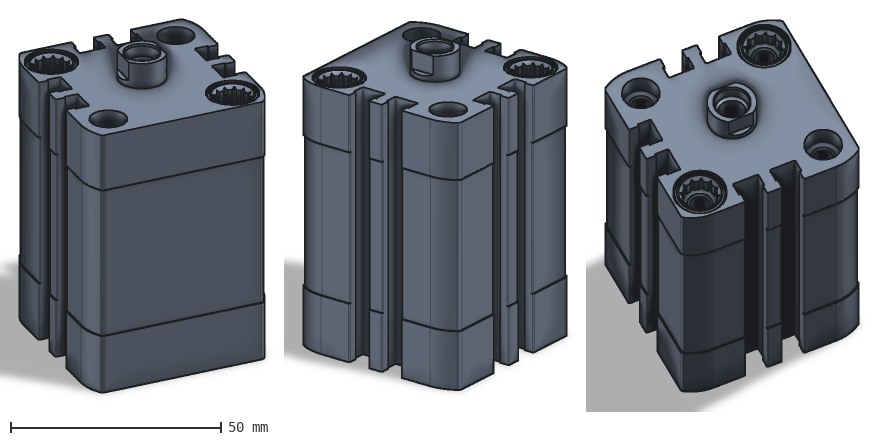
import cadquery as cq
import math

width = 47.0
half = width / 2
total_height = 75.6
housing_height = 68.95
bottom_cap_height = 15.1
top_cap_height = 14.8
barrel_inset = 0.3

corner_radius = 12.1
edge_radius = 1.2

slot_depth = 6.0
lip_depth = 2.6
rib_head_half = 2.0
rib_web_half = 1.5
slot_mouth_end = 7.7
slot_inner_end = 8.25
slot_edge_radius = 0.3
slotted_side_angles = (0, 90, 180)

hole_offset = 16.25
through_diameter = 4.9
hole_chamfer_diameter = 6.0
counterbore_diameter = 9.0
counterbore_depth = 5.0

ring_pit_diameter = 12.8
ring_foot_diameter = 12.0
ring_top_diameter = 11.0
ring_top_drop = 0.2
ring_pit_depth = 0.5
lead_in_diameter = 10.2
lead_in_slope = 52.0
socket_core_diameter = 8.4
socket_tip_diameter = 9.4
socket_depth = 4.6
socket_squares = 3

rod_diameter = 11.9
rod_depth = 15.1
flats_across = 10.0
flats_height = 4.85
flats_shoulder_slope = 30.0
mouth_diameter = 9.0
mouth_depth = 0.45
rod_bore_diameter = 8.5
rod_bore_depth = 3.3
bore_step_depth = 0.45
thread_diameter = 6.65
thread_depth = 12.1
drill_tip_angle = 118.0


def block(inset, z_bottom, height):
    """Prism with blended corners, set in by `inset` all round."""
    side = half - inset
    large = corner_radius - inset
    arc_x = hole_offset
    arc_y = side - large
    small_x = side - edge_radius
    blend = math.asin((small_x - arc_x) / (large - edge_radius))
    small_y = arc_y + (large - edge_radius) * math.cos(blend)

    def on_large(angle):
        return arc_x + large * math.sin(angle), arc_y + large * math.cos(angle)

    def on_small(angle):
        return small_x + edge_radius * math.sin(angle), small_y + edge_radius * math.cos(angle)

    quarter = (
        cq.Workplane("XY", origin=(0, 0, z_bottom))
        .lineTo(0, side)
        .lineTo(arc_x, side)
        .threePointArc(on_large(blend / 2), on_large(blend))
        .threePointArc(on_small((blend + math.pi / 2) / 2), (side, small_y))
        .lineTo(side, 0)
        .close()
        .extrude(height)
    )
    right_half = quarter.union(quarter.mirror("XZ"))
    return right_half.union(right_half.mirror("YZ")).clean()


def slot_pair(side, z_bottom, height):
    """Two T-slots cut into a +Y face at `side`, with rounded mouths and rounded floor corners."""
    lip = half - lip_depth
    floor = half - slot_depth
    mouth_start = side - slot_edge_radius
    slot = (
        cq.Workplane("XY", origin=(0, 0, z_bottom))
        .moveTo(rib_head_half - slot_edge_radius, side)
        .radiusArc((rib_head_half, mouth_start), slot_edge_radius)
        .lineTo(rib_head_half, lip)
        .lineTo(rib_web_half, lip)
        .lineTo(rib_web_half, floor + slot_edge_radius)
        .radiusArc((rib_web_half + slot_edge_radius, floor), -slot_edge_radius)
        .lineTo(slot_inner_end - slot_edge_radius, floor)
        .radiusArc((slot_inner_end, floor + slot_edge_radius), -slot_edge_radius)
        .lineTo(slot_inner_end, lip)
        .lineTo(slot_mouth_end, lip)
        .lineTo(slot_mouth_end, mouth_start)
        .radiusArc((slot_mouth_end + slot_edge_radius, side), slot_edge_radius)
        .close()
        .extrude(height)
    )
    return slot.union(slot.mirror("YZ"))


def slotted_block(inset, z_bottom, height):
    """Block with a pair of T-slots in its +Y, -X and -Y sides."""
    section = block(inset, z_bottom, height)
    slots = slot_pair(half - inset, z_bottom, height)
    for angle in slotted_side_angles:
        section = section.cut(slots.rotate((0, 0, 0), (0, 0, 1), angle))
    return section


def revolved(points, x, y, z_top):
    """Solid of revolution about the vertical line at (x, y); heights run from z_top."""
    profile = cq.Workplane("XZ").polyline(points).close()
    return profile.revolve(360, (0, 0, 0), (0, 1, 0)).translate((x, y, z_top))


def through_hole(x, y, floor_depth):
    """Through hole with a 45 degree chamfer at the floor of the recess above it."""
    bore = through_diameter / 2
    mouth = hole_chamfer_diameter / 2
    points = [
        (0, -floor_depth),
        (mouth, -floor_depth),
        (bore, -floor_depth - (mouth - bore)),
        (bore, -housing_height),
        (0, -housing_height),
    ]
    return revolved(points, x, y, housing_height)


def counterbore(x, y):
    """Counterbored through hole."""
    recess = cq.Workplane("XY", origin=(x, y, housing_height)).circle(counterbore_diameter / 2)
    return recess.extrude(-counterbore_depth).union(through_hole(x, y, counterbore_depth))


def ring_clearance(x, y):
    """Pit that leaves a chamfered ring just below the top face, with a conical lead-in."""
    lead_in = lead_in_diameter / 2
    core = socket_core_diameter / 2
    lead_in_depth = (lead_in - core) * math.tan(math.radians(lead_in_slope))
    points = [
        (0, 0),
        (ring_pit_diameter / 2, 0),
        (ring_pit_diameter / 2, -ring_pit_depth),
        (ring_foot_diameter / 2, -ring_pit_depth),
        (ring_top_diameter / 2, -ring_top_drop),
        (lead_in, -ring_top_drop),
        (core, -ring_top_drop - lead_in_depth),
        (0, -ring_top_drop - lead_in_depth),
    ]
    return revolved(points, x, y, housing_height)


def toothed_socket(x, y):
    """Twelve-point socket: three evenly turned squares, opened out by a round core."""
    square_side = socket_tip_diameter / math.sqrt(2)
    base = cq.Workplane("XY", origin=(x, y, housing_height - socket_depth))
    depth = socket_depth - ring_top_drop
    socket = base.circle(socket_core_diameter / 2).extrude(depth)
    pitch = 90 / socket_squares
    for i in range(socket_squares):
        square = base.transformed(rotate=(0, 0, (i + 0.5) * pitch)).rect(square_side, square_side)
        socket = socket.union(square.extrude(depth))
    return socket


def make_housing():
    """Two end caps with a slightly slimmer barrel between them, bored to take the rod."""
    barrel_top = housing_height - top_cap_height
    housing = slotted_block(0, 0, bottom_cap_height)
    housing = housing.union(slotted_block(barrel_inset, bottom_cap_height, barrel_top - bottom_cap_height))
    housing = housing.union(slotted_block(0, barrel_top, top_cap_height))
    for sign in (1, -1):
        x = sign * hole_offset
        housing = housing.cut(counterbore(x, -x))
        housing = housing.cut(ring_clearance(x, x))
        housing = housing.cut(toothed_socket(x, x))
        housing = housing.cut(through_hole(x, x, socket_depth))
    rod_bore = cq.Workplane("XY", origin=(0, 0, housing_height)).circle(rod_diameter / 2)
    return housing.cut(rod_bore.extrude(-rod_depth))


def flat_cutter():
    """Wedge-bottomed cutter for the wrench flat on the +Y side of the rod."""
    flat = flats_across / 2
    rim = rod_diameter / 2
    shoulder_fall = (rim - flat) * math.tan(math.radians(flats_shoulder_slope))
    shoulder = total_height - flats_height
    points = [(flat, total_height), (flat, shoulder), (rim, shoulder - shoulder_fall), (rim, total_height)]
    return cq.Workplane("YZ").polyline(points).close().extrude(rim, both=True)


def make_rod():
    """Rod with two wrench flats and a stepped blind hole in its upper end."""
    rod_length = total_height - housing_height + rod_depth
    rod = cq.Workplane("XY", origin=(0, 0, total_height)).circle(rod_diameter / 2).extrude(-rod_length)
    flat = flat_cutter()
    rod = rod.cut(flat).cut(flat.mirror("XZ"))
    thread = thread_diameter / 2
    tip_depth = thread / math.tan(math.radians(drill_tip_angle / 2))
    threaded_hole = [
        (0, 0),
        (mouth_diameter / 2, 0),
        (rod_bore_diameter / 2, -mouth_depth),
        (rod_bore_diameter / 2, -rod_bore_depth),
        (thread, -rod_bore_depth - bore_step_depth),
        (thread, -thread_depth),
        (0, -thread_depth - tip_depth),
    ]
    return rod.cut(revolved(threaded_hole, 0, 0, total_height))


housing = make_housing()
rod = make_rod()
result = cq.Compound.makeCompound([housing.val(), rod.val()])